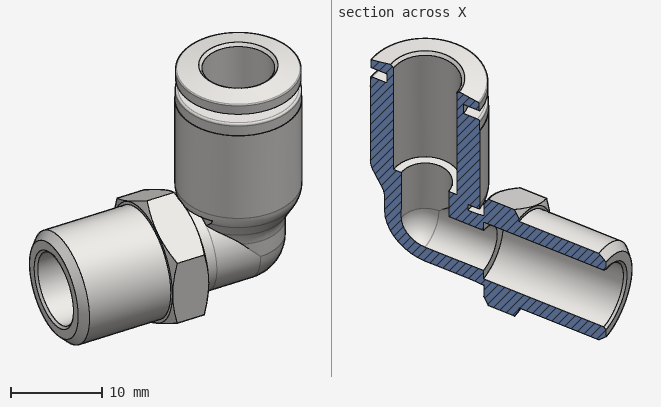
import cadquery as cq
import math

total_height = 30.63
total_depth = 30.0
body_radius = 14.0 / 2
hex_flats = 14.0
hex_corner_radius = hex_flats / math.sqrt(3)
top_z = total_height - hex_corner_radius
thread_end = total_depth - body_radius

collar_radius = 13.8 / 2
collar_top_radius = 4.38
collar_cone_height = 0.45
collar_height = 1.7
rim_fillet = 0.15
neck_radius = 9.8 / 2
neck_height = 1.3

cap_radius = 13.9 / 2
cap_height = 1.55
cap_fillet = 0.28
body_bottom_z = 6.85
elbow_radius = 5.18
shoulder_radius = 3.05
shoulder_angle = math.radians(30)

relief_y = 5.45
relief_z = 5.97

flare_radius = 5.3
hex_start = 7.4
hex_length = 4.53
hex_bevel_length = 0.58
hex_face_radius = 13.9 / 2
thread_radius = 13.17 / 2
thread_chamfer = 0.92

passage_radius = 6.0 / 2
tube_bore_radius = 8.0 / 2
tube_mouth_radius = 8.7 / 2
tube_bore_bottom_z = body_bottom_z
thread_bore_radius = 8.5 / 2
thread_mouth_radius = 9.1 / 2
thread_bore_bottom = hex_start


def along_stem(solid):
    """Turn a solid built along +Z so that it runs along -Y."""
    return solid.rotate((0, 0, 0), (1, 0, 0), 90)


def revolve_about_z(profile):
    return profile.close().revolve(360, (0, 0, 0), (0, 1, 0))


def make_collar():
    bottom = top_z - collar_height
    collar = revolve_about_z(
        cq.Workplane("XZ")
        .moveTo(0, bottom)
        .lineTo(collar_radius, bottom)
        .lineTo(collar_radius, top_z - collar_cone_height)
        .lineTo(collar_top_radius, top_z)
        .lineTo(0, top_z)
    )
    return collar.edges(cq.selectors.RadiusNthSelector(-1)).edges(">Z").fillet(rim_fillet)


def make_body():
    """Neck, cap, tube body and the S-shaped shoulder down to the elbow."""
    cap_top = top_z - collar_height - neck_height
    cap_bottom = cap_top - cap_height
    arc_drop = shoulder_radius * math.sin(shoulder_angle)
    arc_inset = shoulder_radius * (1 - math.cos(shoulder_angle))
    mid_drop = shoulder_radius * math.sin(shoulder_angle / 2)
    mid_inset = shoulder_radius * (1 - math.cos(shoulder_angle / 2))
    cone_inset = body_radius - elbow_radius - 2 * arc_inset
    cone_drop = cone_inset / math.tan(shoulder_angle)
    upper_z = body_bottom_z - arc_drop
    lower_z = upper_z - cone_drop
    elbow_top_z = lower_z - arc_drop

    body = revolve_about_z(
        cq.Workplane("XZ")
        .lineTo(elbow_radius, 0)
        .lineTo(elbow_radius, elbow_top_z)
        .threePointArc(
            (elbow_radius + mid_inset, elbow_top_z + mid_drop),
            (elbow_radius + arc_inset, lower_z),
        )
        .lineTo(body_radius - arc_inset, upper_z)
        .threePointArc(
            (body_radius - mid_inset, body_bottom_z - mid_drop),
            (body_radius, body_bottom_z),
        )
        .lineTo(body_radius, cap_bottom)
        .lineTo(cap_radius, cap_bottom)
        .lineTo(cap_radius, cap_top - cap_fillet)
        .radiusArc((cap_radius - cap_fillet, cap_top), -cap_fillet)
        .lineTo(neck_radius, cap_top)
        .lineTo(neck_radius, top_z - collar_height)
        .lineTo(0, top_z - collar_height)
    )
    relief = cq.Workplane("XY").box(
        2 * body_radius, body_radius, relief_z, centered=(True, False, False)
    )
    return body.cut(relief.translate((0, -relief_y - body_radius, 0)))


def make_stem():
    """Round stem that flares slightly towards the hexagon."""
    return along_stem(
        revolve_about_z(
            cq.Workplane("XZ")
            .lineTo(elbow_radius, 0)
            .lineTo(elbow_radius, relief_y)
            .lineTo(flare_radius, hex_start)
            .lineTo(0, hex_start)
        )
    )


def make_hexagon():
    """Hexagon with corners on the Z axis, both ends turned to a bevel."""
    hexagon = (
        cq.Workplane("XY")
        .workplane(offset=hex_start)
        .polygon(6, 2 * hex_corner_radius)
        .extrude(hex_length)
        .rotate((0, 0, 0), (0, 0, 1), 90)
    )
    hex_end = hex_start + hex_length
    bevels = revolve_about_z(
        cq.Workplane("XZ")
        .moveTo(0, hex_start)
        .lineTo(hex_face_radius, hex_start)
        .lineTo(hex_corner_radius, hex_start + hex_bevel_length)
        .lineTo(hex_corner_radius, hex_end - hex_bevel_length)
        .lineTo(hex_face_radius, hex_end)
        .lineTo(0, hex_end)
    )
    return along_stem(hexagon.intersect(bevels))


def make_thread():
    thread = (
        cq.Workplane("XY")
        .workplane(offset=hex_start)
        .circle(thread_radius)
        .extrude(thread_end - hex_start)
        .faces(">Z")
        .chamfer(thread_chamfer)
    )
    return along_stem(thread)


def make_bore(radius, mouth_radius, bottom, end):
    """Passage from the origin, widened near the end, with a chamfered mouth."""
    mouth_depth = mouth_radius - radius
    return revolve_about_z(
        cq.Workplane("XZ")
        .lineTo(passage_radius, 0)
        .lineTo(passage_radius, bottom)
        .lineTo(radius, bottom)
        .lineTo(radius, end - mouth_depth)
        .lineTo(mouth_radius, end)
        .lineTo(0, end)
    )


elbow_ball = cq.Workplane("XY").sphere(elbow_radius)
passage_ball = cq.Workplane("XY").sphere(passage_radius)
tube_bore = make_bore(tube_bore_radius, tube_mouth_radius, tube_bore_bottom_z, top_z)
thread_bore = along_stem(
    make_bore(thread_bore_radius, thread_mouth_radius, thread_bore_bottom, thread_end)
)

result = (
    make_body()
    .union(make_collar())
    .union(elbow_ball)
    .union(make_stem())
    .union(make_hexagon())
    .union(make_thread())
    .cut(tube_bore)
    .cut(thread_bore)
    .cut(passage_ball)
)